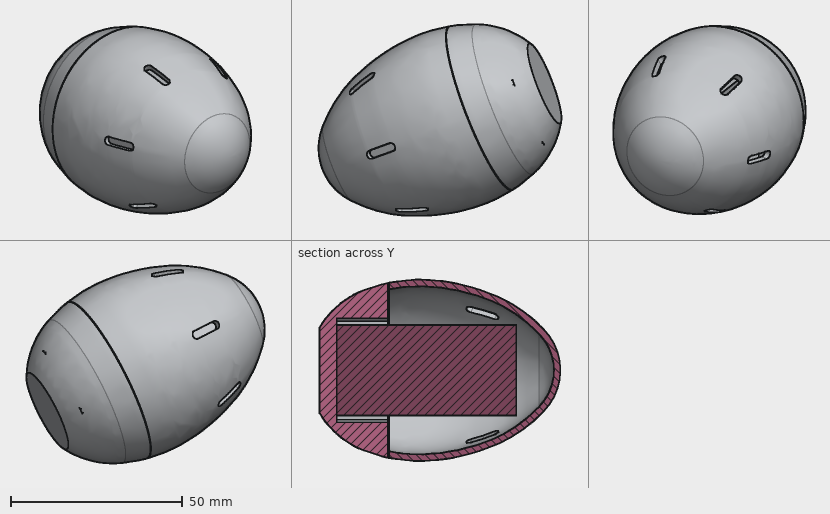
import cadquery as cq
import math

EGG_LENGTH = 70.42
FOOT_RADIUS = 12.5
BASE_ARC_RADIUS = 26.2
BASE_ARC_END_X = 12.94
BASE_ARC_END_RADIUS = 23.45
BELLY_X = 30.3
BELLY_RADIUS = 26.505
SHOULDER_X = 51.0
SHOULDER_RADIUS = 22.05
NOSE_X = 65.5
NOSE_ARC_RADIUS = 17.15

JOINT_X = 20.1
JOINT_GAP = 0.2

SHELL_WALL = 2.0

VENT_COUNT = 6
VENT_X = 48.3
VENT_SURFACE_RADIUS = 23.1
VENT_TILT = 19.1
VENT_LENGTH = 9.9
VENT_WIDTH = 2.5
VENT_CUT_DEPTH = 2 * SHELL_WALL
VENT_START_ANGLE = 7.5

BATTERY_LENGTH = 52.4
BATTERY_THICKNESS = 17.5
BATTERY_WIDTH = 26.5
POCKET_FLOOR_X = 5.1
POCKET_THICKNESS = 23.1
POCKET_WIDTH = 30.3
POCKET_CORNER_DIAMETER = 36.85


def arc_middle(start, end, radius):
    """Middle point of the arc that bulges to the left of the line from start to end."""
    chord_x = end[0] - start[0]
    chord_y = end[1] - start[1]
    chord = math.hypot(chord_x, chord_y)
    rise = radius - math.sqrt(radius**2 - (chord / 2) ** 2)
    return (
        (start[0] + end[0]) / 2 - chord_y / chord * rise,
        (start[1] + end[1]) / 2 + chord_x / chord * rise,
    )


def make_egg():
    nose_centre_x = EGG_LENGTH - NOSE_ARC_RADIUS
    nose_radius = math.sqrt(NOSE_ARC_RADIUS**2 - (NOSE_X - nose_centre_x) ** 2)
    nose_slope = -(NOSE_X - nose_centre_x) / nose_radius

    foot_rim = (0, FOOT_RADIUS)
    base_arc_end = (BASE_ARC_END_X, BASE_ARC_END_RADIUS)
    nose_start = (NOSE_X, nose_radius)
    nose_tip = (EGG_LENGTH, 0)

    base_middle = arc_middle(foot_rim, base_arc_end, BASE_ARC_RADIUS)
    chord_angle = math.atan2(BASE_ARC_END_RADIUS - FOOT_RADIUS, BASE_ARC_END_X)
    half_chord = math.hypot(BASE_ARC_END_RADIUS - FOOT_RADIUS, BASE_ARC_END_X) / 2
    base_slope = math.tan(chord_angle - math.asin(half_chord / BASE_ARC_RADIUS))

    return (
        cq.Workplane("XY")
        .lineTo(*foot_rim)
        .threePointArc(base_middle, base_arc_end)
        .spline(
            [(BELLY_X, BELLY_RADIUS), (SHOULDER_X, SHOULDER_RADIUS), nose_start],
            tangents=[(1, base_slope), (1, nose_slope)],
            includeCurrent=True,
        )
        .threePointArc(arc_middle(nose_start, nose_tip, NOSE_ARC_RADIUS), nose_tip)
        .close()
        .revolve(360, (0, 0, 0), (1, 0, 0))
    )


def slab(start_x, end_x):
    """Block wider than the egg that keeps one length of it."""
    side = 3 * BELLY_RADIUS
    return cq.Workplane("YZ", origin=(start_x, 0, 0)).rect(side, side).extrude(end_x - start_x)


def make_base(egg):
    depth = JOINT_X - POCKET_FLOOR_X
    floor = cq.Workplane("YZ", origin=(POCKET_FLOOR_X, 0, 0))
    pocket = floor.rect(POCKET_THICKNESS, POCKET_WIDTH).extrude(depth)
    corner_trim = floor.circle(POCKET_CORNER_DIAMETER / 2).extrude(depth)
    return egg.intersect(slab(0, JOINT_X)).cut(pocket.intersect(corner_trim))


def make_vent_cutter():
    """Round-ended slot on the -Y side, running through the wall square to its surface."""
    tilt = math.radians(VENT_TILT)
    surface = cq.Plane(
        origin=(VENT_X, -VENT_SURFACE_RADIUS, 0),
        xDir=(math.cos(tilt), math.sin(tilt), 0),
        normal=(math.sin(tilt), -math.cos(tilt), 0),
    )
    return cq.Workplane(surface).slot2D(VENT_LENGTH, VENT_WIDTH).extrude(VENT_CUT_DEPTH, both=True)


def make_shell(egg):
    upper_egg = egg.intersect(slab(JOINT_X + JOINT_GAP, EGG_LENGTH))
    shell = upper_egg.faces("<X").shell(-SHELL_WALL)
    vent_cutter = make_vent_cutter()
    for index in range(VENT_COUNT):
        angle = VENT_START_ANGLE + index * 360 / VENT_COUNT
        shell = shell.cut(vent_cutter.rotate((0, 0, 0), (1, 0, 0), -angle))
    return shell


def make_battery():
    pocket_floor = cq.Workplane("YZ", origin=(POCKET_FLOOR_X, 0, 0))
    return pocket_floor.rect(BATTERY_THICKNESS, BATTERY_WIDTH).extrude(BATTERY_LENGTH)


egg = make_egg()
base = make_base(egg)
shell = make_shell(egg)
battery = make_battery()

result = cq.Compound.makeCompound([base.val(), shell.val(), battery.val()])